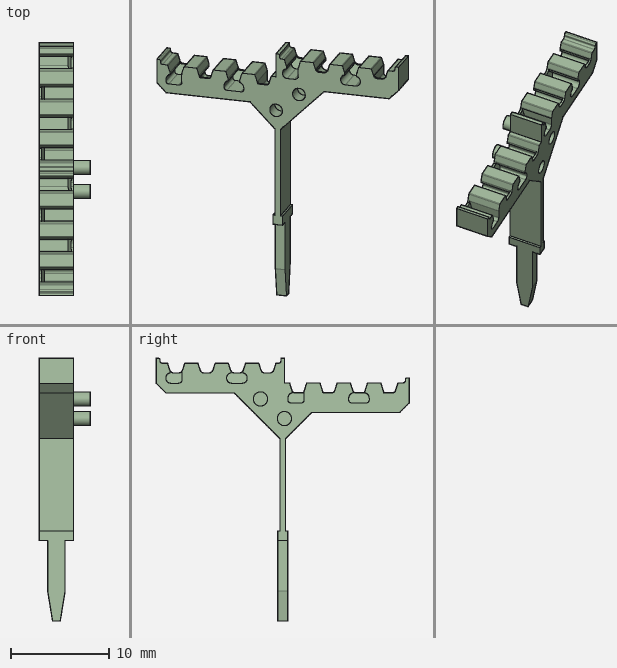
import cadquery as cq

THICKNESS = 3.5
HALF_SPAN = 12.9
ARM_STEP = 2.0
OVERLAP = 0.5

UPPER_TIP_Z = 26.8
LIP_HEIGHT = 0.5
LIP_WIDTH = 0.4
LIP_TIP_ROUND = 0.17
LIP_BASE_ROUND = 0.22
UPPER_TEETH_Z = UPPER_TIP_Z - LIP_HEIGHT
LOWER_TEETH_Z = UPPER_TEETH_Z - ARM_STEP
LOWER_TIP_Z = LOWER_TEETH_Z + LIP_HEIGHT
ARM_HEIGHT = 3.05
UPPER_UNDERSIDE_Z = UPPER_TEETH_Z - ARM_HEIGHT
LOWER_UNDERSIDE_Z = LOWER_TEETH_Z - ARM_HEIGHT
END_CHAMFER = 1.0

STEM_WIDTH = 0.6
NECK_Z = 18.6
COLLAR_WIDTH = 1.05
COLLAR_TOP_Z = 9.2
COLLAR_BOTTOM_Z = 8.2
BLADE_WIDTH = 1.8
BLADE_TIP_WIDTH = 0.8
BLADE_TAPER_Z = 3.05

GROOVES_PER_ARM = 4
GROOVE_PITCH = 3.1
INNER_GROOVE_Y = 1.57
GROOVE_DEPTH = 1.0
GROOVE_TOP_HALF = 0.87
GROOVE_FLOOR_HALF = 0.55
LOWER_FLOOR_ROUND = 0.25
UPPER_FLOOR_ROUND = 0.45
TOOTH_ROUND = 0.08

POCKET_DEPTH = 1.05
POCKET_HALF_WIDTH = 1.05
NECK_HALF_WIDTH = 0.62
POCKET_FLOOR_LENGTH = 2.95
POCKET_TOP_LENGTH = 3.25
LOWER_POCKET_ROUNDS = (0.6, 0.3, 0.3)
UPPER_POCKET_ROUNDS = (0.5, 0.5, 0.4)

PEG_LENGTH = 1.7
PEG_DIAMETER = 1.45
HOLE_DIAMETER = 1.35
HOLE_DEPTH = PEG_LENGTH
COUPLING_POINTS = [(0.17, 20.65), (-2.27, 22.65)]


def side_plane(x):
    """Plane at the given X whose local axes are the part's Y and Z."""
    return cq.Workplane("YZ", origin=(x, 0, 0))


def nearest_edge(y, z):
    """Selector for the edge closest to the given Y and Z at mid thickness."""
    return cq.selectors.NearestToPointSelector((THICKNESS / 2, y, z))


def slab(y_near, y_far, z_bottom, z_top):
    """Box across the full thickness between the given Y and Z limits."""
    outline = [(y_near, z_bottom), (y_far, z_bottom), (y_far, z_top), (y_near, z_top)]
    return side_plane(0).polyline(outline).close().extrude(THICKNESS)


def make_arms():
    """Both arms, the gussets and the stem, across the full thickness."""
    stem_half = STEM_WIDTH / 2
    post_half = LIP_WIDTH / 2
    lip_inner = HALF_SPAN - LIP_WIDTH
    outline = [
        (stem_half, COLLAR_BOTTOM_Z),
        (stem_half, NECK_Z),
        (stem_half + LOWER_UNDERSIDE_Z - NECK_Z, LOWER_UNDERSIDE_Z),
        (HALF_SPAN - END_CHAMFER, LOWER_UNDERSIDE_Z),
        (HALF_SPAN, LOWER_UNDERSIDE_Z + END_CHAMFER),
        (HALF_SPAN, LOWER_TIP_Z),
        (lip_inner, LOWER_TIP_Z),
        (lip_inner, LOWER_TEETH_Z),
        (post_half, LOWER_TEETH_Z),
        (post_half, UPPER_TIP_Z),
        (-post_half, UPPER_TIP_Z),
        (-post_half, UPPER_TEETH_Z),
        (-lip_inner, UPPER_TEETH_Z),
        (-lip_inner, UPPER_TIP_Z),
        (-HALF_SPAN, UPPER_TIP_Z),
        (-HALF_SPAN, UPPER_UNDERSIDE_Z + END_CHAMFER),
        (-HALF_SPAN + END_CHAMFER, UPPER_UNDERSIDE_Z),
        (-stem_half - (UPPER_UNDERSIDE_Z - NECK_Z), UPPER_UNDERSIDE_Z),
        (-stem_half, NECK_Z),
        (-stem_half, COLLAR_BOTTOM_Z),
    ]
    arms = side_plane(0).polyline(outline).close().extrude(THICKNESS)

    lip_rounds = [
        (lip_inner, LOWER_TIP_Z, LIP_TIP_ROUND),
        (lip_inner, LOWER_TEETH_Z, LIP_BASE_ROUND),
        (-post_half, UPPER_TEETH_Z, LIP_BASE_ROUND),
        (-lip_inner, UPPER_TEETH_Z, LIP_BASE_ROUND),
        (-lip_inner, UPPER_TIP_Z, LIP_TIP_ROUND),
    ]
    for y, z, radius in lip_rounds:
        arms = arms.edges("|X").edges(nearest_edge(y, z)).fillet(radius)
    return arms


def make_blade():
    """Collar across the full thickness and the narrower blade tapering to its tip."""
    middle = THICKNESS / 2
    collar_outline = [
        (0, COLLAR_BOTTOM_Z),
        (THICKNESS, COLLAR_BOTTOM_Z),
        (THICKNESS, COLLAR_TOP_Z),
        (0, COLLAR_TOP_Z),
    ]
    blade_outline = [
        (middle - BLADE_TIP_WIDTH / 2, 0),
        (middle + BLADE_TIP_WIDTH / 2, 0),
        (middle + BLADE_WIDTH / 2, BLADE_TAPER_Z),
        (middle + BLADE_WIDTH / 2, COLLAR_TOP_Z),
        (middle - BLADE_WIDTH / 2, COLLAR_TOP_Z),
        (middle - BLADE_WIDTH / 2, BLADE_TAPER_Z),
    ]
    plane = cq.Workplane("XZ")
    collar = plane.polyline(collar_outline).close().extrude(COLLAR_WIDTH / 2, both=True)
    blade = plane.polyline(blade_outline).close().extrude(COLLAR_WIDTH / 2, both=True)
    return collar.union(blade)


def make_groove(y, teeth_z, floor_round, round_sides):
    """Tapered groove along X; round_sides lists the floor edges to round (+1 or -1 in Y)."""
    floor_z = teeth_z - GROOVE_DEPTH
    taper = (GROOVE_TOP_HALF - GROOVE_FLOOR_HALF) / GROOVE_DEPTH
    mouth_half = GROOVE_TOP_HALF + taper * OVERLAP
    outline = [
        (y - GROOVE_FLOOR_HALF, floor_z),
        (y + GROOVE_FLOOR_HALF, floor_z),
        (y + mouth_half, teeth_z + OVERLAP),
        (y - mouth_half, teeth_z + OVERLAP),
    ]
    groove = side_plane(0).polyline(outline).close().extrude(THICKNESS)
    for side in round_sides:
        corner = nearest_edge(y + side * GROOVE_FLOOR_HALF, floor_z)
        groove = groove.edges("|X").edges(corner).fillet(floor_round)
    return groove


def pocket_half(y, teeth_z, side, rounds, straight):
    """Half of a pocket on one side (+1 or -1) of its centre, with its neck up into the groove."""
    top_round, bottom_round, corner_round = rounds
    floor_z = teeth_z - GROOVE_DEPTH
    bottom_z = floor_z - POCKET_DEPTH
    neck_y = y + side * NECK_HALF_WIDTH
    if straight:
        half = slab(y, neck_y, bottom_z, teeth_z)
        return half.edges("|X").edges(nearest_edge(neck_y, bottom_z)).fillet(corner_round)

    wall_y = y + side * POCKET_HALF_WIDTH
    half = slab(y, wall_y, bottom_z, floor_z)
    half = half.edges("|X").edges(nearest_edge(wall_y, bottom_z)).fillet(bottom_round)
    half = half.edges("|X").edges(nearest_edge(wall_y, floor_z)).fillet(top_round)
    neck = slab(y, neck_y, floor_z - POCKET_DEPTH / 2, teeth_z)
    return half.union(neck)


def make_pocket(y, teeth_z, rounds, straight_side, opens_minus_x):
    """Pocket open through one X face, with a leaning end wall near the other."""
    pocket = pocket_half(y, teeth_z, 1, rounds, straight_side == 1)
    pocket = pocket.union(pocket_half(y, teeth_z, -1, rounds, straight_side == -1))

    bottom_z = teeth_z - GROOVE_DEPTH - POCKET_DEPTH
    lean = (POCKET_TOP_LENGTH - POCKET_FLOOR_LENGTH) / POCKET_DEPTH
    length_at_teeth = POCKET_FLOOR_LENGTH + lean * (teeth_z - bottom_z)
    reach = [
        (0, bottom_z),
        (POCKET_FLOOR_LENGTH, bottom_z),
        (length_at_teeth, teeth_z),
        (0, teeth_z),
    ]
    if not opens_minus_x:
        reach = [(THICKNESS - x, z) for x, z in reach]
    envelope_plane = cq.Workplane("XZ", origin=(0, y, 0))
    envelope = envelope_plane.polyline(reach).close().extrude(GROOVE_PITCH / 2, both=True)
    return pocket.intersect(envelope)


def cut_wire_seats(body, first_y, teeth_z, pocket_rounds, floor_round, round_both_sides):
    """Cut one arm's row of grooves and pockets, starting at its +Y end."""
    for index in range(GROOVES_PER_ARM):
        y = first_y - index * GROOVE_PITCH
        opens_minus_x = index % 2 == 0
        round_sides = [1] if opens_minus_x else [-1]
        if round_both_sides:
            round_sides = [1, -1]

        straight_side = 0
        if index == 0:
            straight_side = -1
        elif index == GROOVES_PER_ARM - 1:
            straight_side = 1

        body = body.cut(make_groove(y, teeth_z, floor_round, round_sides))
        for side in (1, -1):
            tooth_edge = nearest_edge(y + side * GROOVE_TOP_HALF, teeth_z)
            body = body.edges("|X").edges(tooth_edge).fillet(TOOTH_ROUND)
        body = body.cut(make_pocket(y, teeth_z, pocket_rounds, straight_side, opens_minus_x))
    return body


def add_coupling(body):
    """Blind holes in the -X face and pegs on the +X face, on shared axes."""
    holes = side_plane(0).pushPoints(COUPLING_POINTS).circle(HOLE_DIAMETER / 2).extrude(HOLE_DEPTH)
    pegs = side_plane(THICKNESS).pushPoints(COUPLING_POINTS).circle(PEG_DIAMETER / 2).extrude(PEG_LENGTH)
    return body.cut(holes).union(pegs)


outer_groove_y = INNER_GROOVE_Y + (GROOVES_PER_ARM - 1) * GROOVE_PITCH

holder = make_arms().union(make_blade())
holder = cut_wire_seats(
    holder, outer_groove_y, LOWER_TEETH_Z, LOWER_POCKET_ROUNDS, LOWER_FLOOR_ROUND, False
)
holder = cut_wire_seats(
    holder, -INNER_GROOVE_Y, UPPER_TEETH_Z, UPPER_POCKET_ROUNDS, UPPER_FLOOR_ROUND, True
)
result = add_coupling(holder)